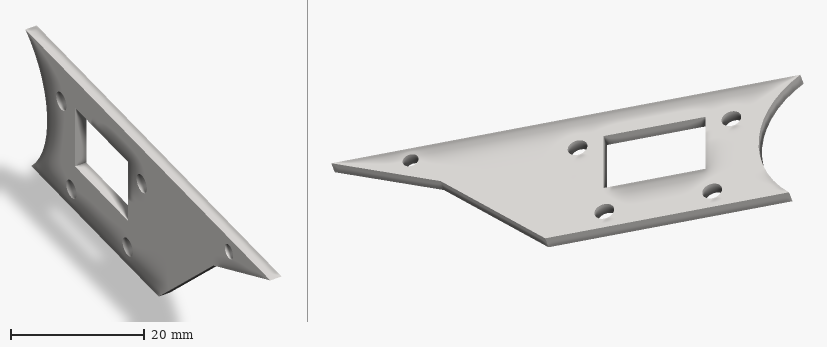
import cadquery as cq

length = 72.8
height = 24.5
thickness = 2.0

bottom_left_x = 1.75
bottom_right_x = 39.6
knee_x = 55.85
knee_z = 16.3
concave_arc_x = 6.5
concave_arc_z = 11.3

window_width = 15.8
window_height = 11.0
window_center_x = 22.65
window_center_z = 13.8

mount_diameter = 3.05
upper_holes_z = 17.9
upper_holes_x = (10.7, 34.6)
lower_holes_z = 3.35
lower_holes_x = (13.7, 30.45)

tip_hole_diameter = 2.5
tip_hole_x = 60.5
tip_hole_z = 21.9


def extrude_through(sketch):
    """Extrude an XZ sketch toward -Y through the plate thickness."""
    return sketch.extrude(thickness)


def plate():
    outline = (
        cq.Workplane("XZ")
        .moveTo(bottom_left_x, 0)
        .lineTo(bottom_right_x, 0)
        .lineTo(knee_x, knee_z)
        .lineTo(length, height)
        .lineTo(0, height)
        .threePointArc((concave_arc_x, concave_arc_z), (bottom_left_x, 0))
        .close()
    )
    return extrude_through(outline)


def window():
    opening = (
        cq.Workplane("XZ")
        .center(window_center_x, window_center_z)
        .rect(window_width, window_height)
    )
    return extrude_through(opening)


def holes(centers, diameter):
    return extrude_through(cq.Workplane("XZ").pushPoints(centers).circle(diameter / 2))


mount_centers = [(x, upper_holes_z) for x in upper_holes_x]
mount_centers += [(x, lower_holes_z) for x in lower_holes_x]

result = (
    plate()
    .cut(window())
    .cut(holes(mount_centers, mount_diameter))
    .cut(holes([(tip_hole_x, tip_hole_z)], tip_hole_diameter))
)